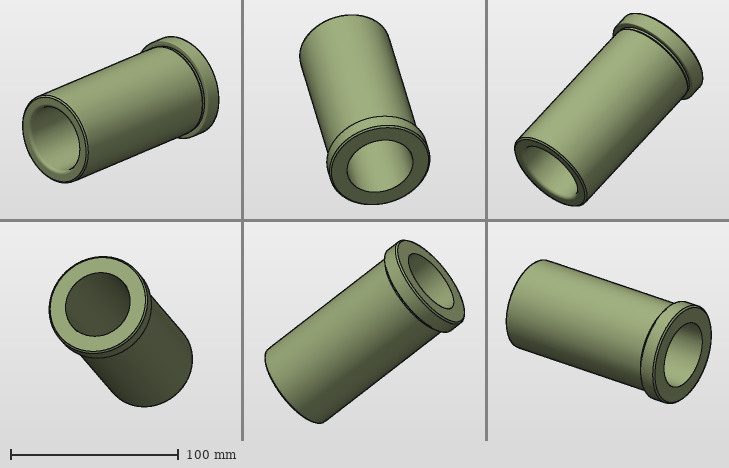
import cadquery as cq
import math

length = 110.0
head_radius = 30.52
head_length = 10.0
body_radius = 27.5
bore_radius = 20.0
bore_rounding = 2.0

back_chamfer = 1.0
front_rounding = 0.5

undercut_length = 2.0
undercut_depth = 0.3
undercut_ramp = 0.7
face_relief_height = 0.8
face_relief_depth = 0.2

lead_length = 3.0
lead_drop = 0.1
tip_chamfer_length = 0.9
tip_radius = 26.4

tip_y = -length / 2
back_y = length / 2
shoulder_y = back_y - head_length
undercut_start_y = shoulder_y - undercut_length
undercut_radius = body_radius - undercut_depth
round_middle = front_rounding * (1 - math.sqrt(0.5))


def turned_blank():
    """Revolve the outer half-profile (radius, y) about the Y axis."""
    return (
        cq.Workplane("XY")
        .moveTo(0, tip_y)
        .lineTo(tip_radius, tip_y)
        .lineTo(body_radius - lead_drop, tip_y + tip_chamfer_length)
        .lineTo(body_radius, tip_y + lead_length)
        .lineTo(body_radius, undercut_start_y)
        .lineTo(undercut_radius, undercut_start_y + undercut_ramp)
        .lineTo(undercut_radius, shoulder_y + face_relief_depth)
        .lineTo(body_radius + face_relief_height, shoulder_y)
        .lineTo(head_radius - front_rounding, shoulder_y)
        .threePointArc(
            (head_radius - round_middle, shoulder_y + round_middle),
            (head_radius, shoulder_y + front_rounding),
        )
        .lineTo(head_radius, back_y - back_chamfer)
        .lineTo(head_radius - back_chamfer, back_y)
        .lineTo(0, back_y)
        .close()
        .revolve(360, (0, 0, 0), (0, 1, 0))
    )


def through_bore():
    """Cylinder along the whole part, centred on the Y axis."""
    return cq.Workplane("XZ", origin=(0, back_y, 0)).circle(bore_radius).extrude(length)


bored = turned_blank().cut(through_bore())

result = bored.faces("<Y").edges(cq.selectors.RadiusNthSelector(0)).fillet(bore_rounding)